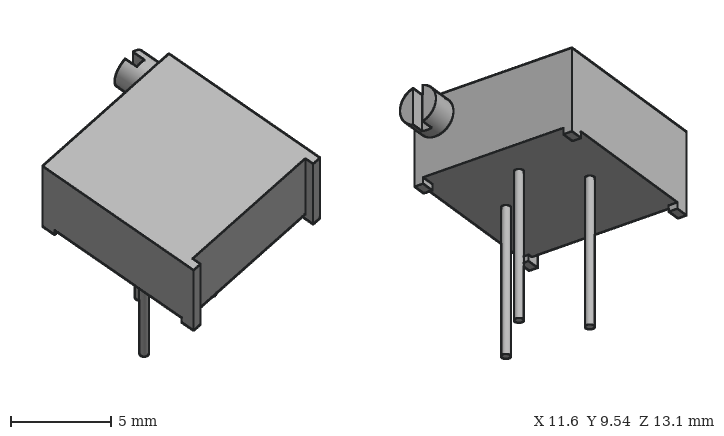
import cadquery as cq

total_length = 11.56
body_width = 9.54
total_height = 13.08

body_length = 10.03
body_height = 4.84
foot_height = 0.37
foot_length = 0.81
foot_width = 0.52
recess_depth = 0.52
lug_width = 0.52

screw_diameter = 2.18
screw_inset = 1.27
slot_width = 0.58
slot_depth = 0.77

pin_diameter = 0.5
pin_pitch = 2.54
middle_pin_inset = 2.25

screw_length = total_length - body_length
body_bottom = total_height - body_height
pin_top = body_bottom + foot_height


def make_housing():
    """Block with a cross-shaped hollow below and a recess in the +X side."""
    corner = (False, True, False)
    block = cq.Workplane("XY").box(body_length, body_width, body_height, centered=corner)
    across = (
        cq.Workplane("XY")
        .box(body_length - 2 * foot_length, body_width, foot_height, centered=corner)
        .translate((foot_length, 0, 0))
    )
    along = cq.Workplane("XY").box(
        body_length, body_width - 2 * foot_width, foot_height, centered=corner
    )
    recess = (
        cq.Workplane("XY")
        .box(recess_depth, body_width - 2 * lug_width, body_height, centered=corner)
        .translate((body_length - recess_depth, 0, 0))
    )
    return block.cut(across).cut(along).cut(recess).translate((0, 0, body_bottom))


def make_screw():
    """Round screw head with a vertical slot across its outer face."""
    head = cq.Workplane("YZ").circle(screw_diameter / 2).extrude(-screw_length)
    slot = (
        cq.Workplane("YZ", origin=(-screw_length, 0, 0))
        .rect(slot_width, screw_diameter)
        .extrude(slot_depth)
    )
    axis_y = body_width / 2 - screw_inset
    axis_z = total_height - screw_inset
    return head.cut(slot).translate((0, axis_y, axis_z))


def make_pins():
    """Three round pins, the outer two set one pitch further from the screw."""
    outer_pin_x = middle_pin_inset + pin_pitch
    places = [
        (outer_pin_x, -pin_pitch),
        (middle_pin_inset, 0),
        (outer_pin_x, pin_pitch),
    ]
    return cq.Workplane("XY").pushPoints(places).circle(pin_diameter / 2).extrude(pin_top)


result = make_housing().union(make_screw()).union(make_pins())